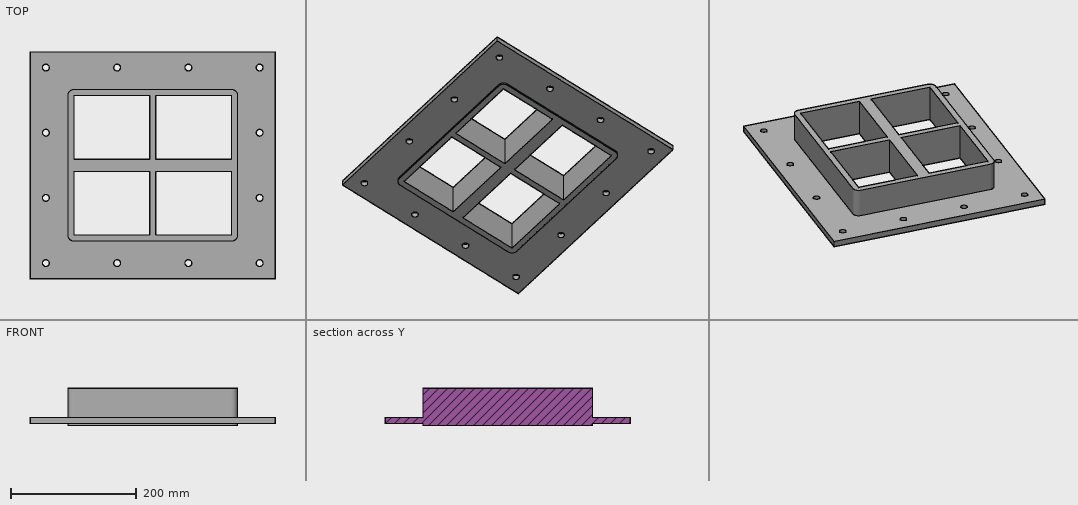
import cadquery as cq

plate_length = 391.0
plate_width = 362.0
plate_thickness = 10.0

frame_length = 271.0
frame_width = 242.0
frame_height = 60.0
frame_wall = 10.0
frame_corner_radius = 10.0
frame_below_plate = 3.0

rib_along_y_thickness = 10.0
rib_along_x_thickness = 20.0

hole_diameter = 10.5
hole_edge_distance = 25.0
holes_per_side = 4

opening_length = (frame_length - 2 * frame_wall - rib_along_y_thickness) / 2
opening_width = (frame_width - 2 * frame_wall - rib_along_x_thickness) / 2


def make_plate():
    """Flat flange, raised so the frame protrudes below it."""
    return (
        cq.Workplane("XY")
        .workplane(offset=frame_below_plate)
        .rect(plate_length, plate_width)
        .extrude(plate_thickness)
    )


def make_frame():
    """Solid block of the frame with rounded vertical corners."""
    return (
        cq.Workplane("XY")
        .rect(frame_length, frame_width)
        .extrude(frame_height)
        .edges("|Z")
        .fillet(frame_corner_radius)
    )


def make_openings():
    """Four square-cornered through openings, mirrored about both axes."""
    spacing_x = opening_length + rib_along_y_thickness
    spacing_y = opening_width + rib_along_x_thickness
    return (
        cq.Workplane("XY")
        .rarray(spacing_x, spacing_y, 2, 2)
        .rect(opening_length, opening_width)
        .extrude(frame_height)
    )


def bolt_hole_positions():
    """Evenly spaced grid points, keeping only those on the outer border."""
    first_x = hole_edge_distance - plate_length / 2
    first_y = hole_edge_distance - plate_width / 2
    last = holes_per_side - 1
    pitch_x = -2 * first_x / last
    pitch_y = -2 * first_y / last
    return [
        (first_x + column * pitch_x, first_y + row * pitch_y)
        for column in range(holes_per_side)
        for row in range(holes_per_side)
        if column in (0, last) or row in (0, last)
    ]


def make_bolt_holes():
    """Cylinders that cut the bolt holes through the plate."""
    return (
        cq.Workplane("XY")
        .workplane(offset=frame_below_plate)
        .pushPoints(bolt_hole_positions())
        .circle(hole_diameter / 2)
        .extrude(plate_thickness)
    )


result = make_plate().union(make_frame()).cut(make_openings()).cut(make_bolt_holes())